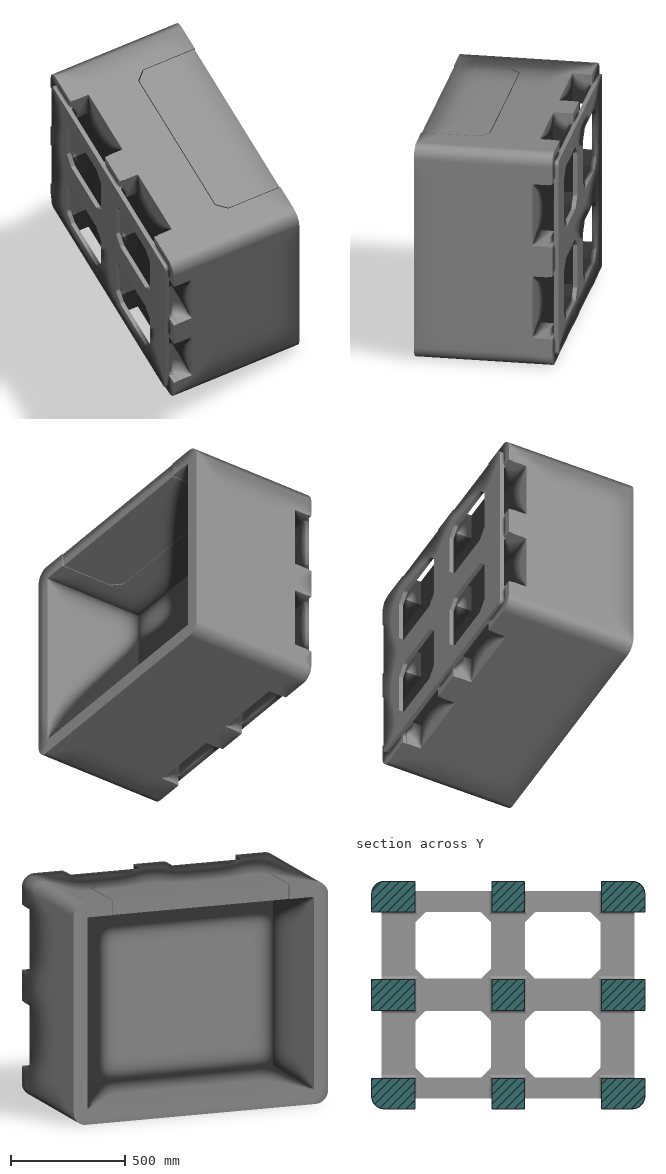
import cadquery as cq

LENGTH = 1200.0
WIDTH = 1000.0
HEIGHT = 635.0
CORNER_RADIUS = 58.0
WALL = 66.0

PLATE_TOP = 19.0
SKID_TOP = 38.0
FORK_SLOT_TOP = 107.0
FLOOR_TOP = 144.0
LONG_WALL_BOTTOM = 210.0
BASE_TOP = 342.0

PLATE_LENGTH = 1108.0
PLATE_WIDTH = 908.0
PLATE_CORNER_RADIUS = 20.0
OPENING_CHAMFER = 45.0
OPENING_ROUNDING = 12.0
OPENING_CLEARANCE = 1.0

X_MIDDLE_POST = 150.0
X_SLOT = 330.0
Z_MIDDLE_POST = 144.0
Z_SLOT = 289.0
SKID_SLOT_CLEARANCE = 2.0
SKID_SLOT_FILLET = 15.0

TONGUE_LENGTH = 1037.0
TONGUE_RADIUS = 48.0

WINDOW_LENGTH = 835.0
WINDOW_DEPTH = 300.0
WINDOW_CHAMFER = 43.0
HATCH_GAP = 4.0

X_SLOT_CENTRE = (X_MIDDLE_POST + X_SLOT) / 2
Z_SLOT_CENTRE = (Z_MIDDLE_POST + Z_SLOT) / 2
INNER_LENGTH = LENGTH - 2 * WALL
INNER_WIDTH = WIDTH - 2 * WALL


def block(length, bottom, top, width):
    """A block centred on X and Z that spans two Y levels."""
    return cq.Workplane("XY").box(length, top - bottom, width).translate((0, (bottom + top) / 2, 0))


def rounded_block(bottom, top):
    """The full outline of the box between two Y levels."""
    return block(LENGTH, bottom, top, WIDTH).edges("|Y").fillet(CORNER_RADIUS)


def fork_slots(bottom, top, clearance, fillet=0):
    """Two slots along Z and two along X, with their lower edges rounded if a fillet is given."""
    along_z = block(X_SLOT + 2 * clearance, bottom, top, WIDTH)
    along_x = block(LENGTH, bottom, top, Z_SLOT + 2 * clearance)
    if fillet:
        along_z = along_z.edges("|Z and <Y").fillet(fillet)
        along_x = along_x.edges("|X and <Y").fillet(fillet)
    slots = cq.Workplane("XY")
    for side in (-1, 1):
        slots = slots.add(along_z.translate((side * X_SLOT_CENTRE, 0, 0)))
        slots = slots.add(along_x.translate((0, 0, side * Z_SLOT_CENTRE)))
    return slots.combine()


def make_skid():
    """The bottom plate with nine feet, and an opening below each crossing of the fork slots."""
    plate = block(PLATE_LENGTH, 0, SKID_TOP, PLATE_WIDTH)
    plate = plate.edges("|Y").fillet(PLATE_CORNER_RADIUS)
    rim = rounded_block(PLATE_TOP, SKID_TOP).cut(plate)
    rim = rim.cut(fork_slots(PLATE_TOP, SKID_TOP, SKID_SLOT_CLEARANCE))
    plate = plate.cut(fork_slots(PLATE_TOP, SKID_TOP, SKID_SLOT_CLEARANCE, SKID_SLOT_FILLET))
    skid = plate.union(rim)
    opening = block(X_SLOT + 2 * OPENING_CLEARANCE, 0, PLATE_TOP, Z_SLOT + 2 * OPENING_CLEARANCE)
    opening = opening.edges("|Y").chamfer(OPENING_CHAMFER).edges("|Y").fillet(OPENING_ROUNDING)
    for x_side in (-1, 1):
        for z_side in (-1, 1):
            skid = skid.cut(opening.translate((x_side * X_SLOT_CENTRE, 0, z_side * Z_SLOT_CENTRE)))
    return skid


def long_wall_blank(z_side):
    """A plain long wall: a panel between the short walls, with a narrower rounded tongue below."""
    panel = block(INNER_LENGTH, BASE_TOP, HEIGHT, WALL)
    tongue = block(TONGUE_LENGTH, LONG_WALL_BOTTOM, BASE_TOP, WALL)
    tongue = tongue.edges("|Z and <Y").fillet(TONGUE_RADIUS)
    return panel.union(tongue).translate((0, 0, z_side * (WIDTH - WALL) / 2))


def make_base(long_walls):
    """The lower tray with fork slots below and a notch for the tongue of each long wall."""
    base = rounded_block(SKID_TOP, BASE_TOP)
    base = base.cut(block(INNER_LENGTH, FLOOR_TOP, BASE_TOP, INNER_WIDTH))
    base = base.cut(fork_slots(SKID_TOP, FORK_SLOT_TOP, 0))
    for wall in long_walls:
        base = base.cut(wall)
    return base


def make_short_wall(x_side):
    """An end wall that includes the two rounded corners at its end of the box."""
    end = block(WALL, BASE_TOP, HEIGHT, WIDTH).translate((x_side * (LENGTH - WALL) / 2, 0, 0))
    return rounded_block(BASE_TOP, HEIGHT).intersect(end)


def hatch_panel(length, bottom, top):
    """A panel in the +Z wall with its two lower corners cut off."""
    panel = block(length, bottom, top, WALL).edges("|Z and <Y").chamfer(WINDOW_CHAMFER)
    return panel.translate((0, 0, (WIDTH - WALL) / 2))


window_bottom = HEIGHT - WINDOW_DEPTH
window = hatch_panel(WINDOW_LENGTH, window_bottom, HEIGHT)
hatch = hatch_panel(WINDOW_LENGTH - 2 * HATCH_GAP, window_bottom + HATCH_GAP, HEIGHT - HATCH_GAP)

hatch_wall_blank = long_wall_blank(1)
hatch_wall = hatch_wall_blank.cut(window)
plain_wall = long_wall_blank(-1)
base = make_base([hatch_wall_blank, plain_wall])
short_walls = [make_short_wall(x_side) for x_side in (-1, 1)]
skid = make_skid()

result = cq.Compound.makeCompound(
    [
        skid.val(),
        base.val(),
        *[wall.val() for wall in short_walls],
        hatch_wall.val(),
        plain_wall.val(),
        hatch.val(),
    ]
)